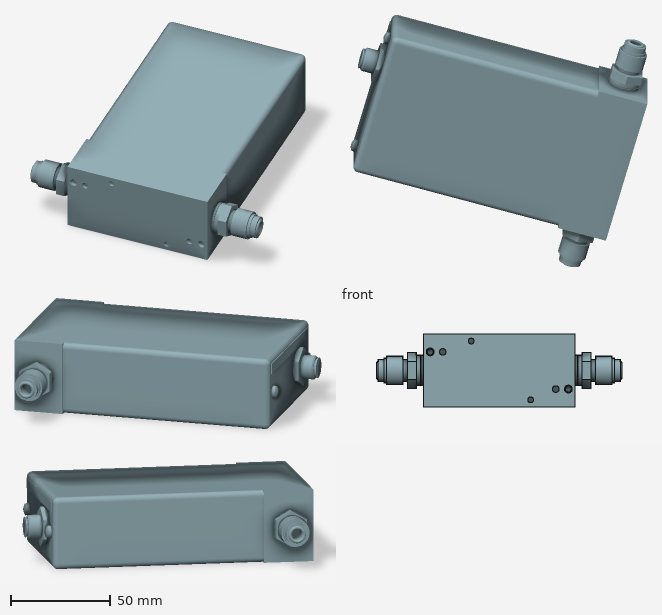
import cadquery as cq
import math

BLOCK_WIDTH = 76.5
BLOCK_DEPTH = 25.2
HEIGHT = 36.9

PORT_X, PORT_Z = 34.9, 9.4
PORT_DIAMETER = 3.0
PORT_MOUTH_DIAMETER = 3.9
PORT_CHAMFER = (PORT_MOUTH_DIAMETER - PORT_DIAMETER) / 2
PORT_DEPTH = 8.6
DRILL_POINT_ANGLE = 118
DOWEL_X = 28.5
DOWEL_DIAMETER = 3.3
MOUNT_LEFT_X, MOUNT_RIGHT_X, MOUNT_Z = -14.1, 15.8, 14.8
MOUNT_DIAMETER = 2.9
FLAT_HOLE_DEPTH = 7.2

COVER_WIDTH = 75.3
COVER_DEPTH = 108.0
COVER_FILLET = 2.7
COVER_BACK_Y = BLOCK_DEPTH + COVER_DEPTH

LABEL_WIDTH = 67.4
LABEL_THICKNESS = 0.5
LABEL_TOP_Z = HEIGHT / 2 - COVER_FILLET
LABEL_BOTTOM_Z = 10.4

SCREW_X = 30.1
SCREW_HEAD_DIAMETER = 6.0
SCREW_HEAD_HEIGHT = 2.7
SCREW_RIM_HEIGHT = 1.7

CONNECTOR_X = -16.0
CONNECTOR_LENGTH = 144 - COVER_BACK_Y
HEX_FLANGE_FLATS = 17.9
HEX_FLANGE_CORNERS = 20.3
HEX_FLANGE_CHAMFER = 1.2
HEX_FLANGE_SEAT_DIAMETER = HEX_FLANGE_CORNERS - 2 * HEX_FLANGE_CHAMFER
HEX_FLANGE_THICKNESS = 2.9
BARREL_DIAMETER = 12.1
BARREL_NECK_DIAMETER = 11.5
BARREL_NECK_LENGTH = 0.5
BARREL_CHAMFER = 0.7
LIP_DIAMETER = 10.4
LIP_GROOVE_DIAMETER = 9.2
LIP_LENGTH = 0.5
LIP_GROOVE_LENGTH = 0.9

FITTING_Y = BLOCK_DEPTH / 2
OVERALL_WIDTH = 124.0
SEAL_DIAMETER = 15.4
SEAL_THICKNESS = 1.2
GROOVE_DIAMETER = 14.7
GROOVE_LENGTH = 0.5
COLLAR_LENGTH = 2.0
FITTING_HEX_FLATS = 15.8
FITTING_HEX_LENGTH = 4.5
NECK_DIAMETER = 11.2
NECK_LENGTH = 2.3
THREAD_DIAMETER = 14.4
THREAD_LENGTH = 8.2
THREAD_STEP_DIAMETER = 12.4
THREAD_STEP_LENGTH = 1.5
NOSE_DIAMETER = 11.2
NOSE_LENGTH = 2.9
TIP_DIAMETER = 9.0
TIP_FILLET = 0.9
BORE_DIAMETER = 5.5
BORE_CHAMFER = 0.6
BORE_DEPTH = 8.6


def y_cylinder(x, y, z, diameter, length):
    """Cylinder that starts at the given point and runs toward +Y."""
    axis = cq.Vector(0, 1, 0)
    return cq.Workplane(cq.Solid.makeCylinder(diameter / 2, length, cq.Vector(x, y, z), axis))


def y_cone(x, y, z, start_diameter, end_diameter, length):
    """Cone that starts at the given point and runs toward +Y."""
    axis = cq.Vector(0, 1, 0)
    cone = cq.Solid.makeCone(start_diameter / 2, end_diameter / 2, length, cq.Vector(x, y, z), axis)
    return cq.Workplane(cone)


def port_cutter(x, z):
    """Countersunk drilled hole with a conical bottom."""
    point_length = PORT_DIAMETER / 2 / math.tan(math.radians(DRILL_POINT_ANGLE / 2))
    bore = y_cylinder(x, 0, z, PORT_DIAMETER, PORT_DEPTH)
    mouth = y_cone(x, 0, z, PORT_MOUTH_DIAMETER, PORT_DIAMETER, PORT_CHAMFER)
    point = y_cone(x, PORT_DEPTH, z, PORT_DIAMETER, 0, point_length)
    return bore.union(mouth).union(point)


def make_block():
    block = cq.Workplane().box(BLOCK_WIDTH, BLOCK_DEPTH, HEIGHT, centered=(True, False, True))
    for side in (-1, 1):
        block = block.cut(port_cutter(side * PORT_X, -side * PORT_Z))
        block = block.cut(y_cylinder(side * DOWEL_X, 0, -side * PORT_Z, DOWEL_DIAMETER, FLAT_HOLE_DEPTH))
    for x, z in ((MOUNT_LEFT_X, MOUNT_Z), (MOUNT_RIGHT_X, -MOUNT_Z)):
        block = block.cut(y_cylinder(x, 0, z, MOUNT_DIAMETER, FLAT_HOLE_DEPTH))
    return block


def make_cover():
    cover = cq.Workplane().box(COVER_WIDTH, COVER_DEPTH, HEIGHT, centered=(True, False, True))
    cover = cover.edges("|Y or >Y").fillet(COVER_FILLET)
    return cover.translate((0, BLOCK_DEPTH, 0))


def make_label():
    label_height = LABEL_TOP_Z - LABEL_BOTTOM_Z
    label = cq.Workplane().box(LABEL_WIDTH, LABEL_THICKNESS, label_height, centered=(True, False, False))
    return label.translate((0, COVER_BACK_Y, LABEL_BOTTOM_Z))


def make_cover_screw(x):
    """Screw head with a straight rim and a domed top, revolved about its Y axis."""
    rim_radius = SCREW_HEAD_DIAMETER / 2
    dome_height = SCREW_HEAD_HEIGHT - SCREW_RIM_HEIGHT
    dome_radius = (rim_radius**2 + dome_height**2) / (2 * dome_height)
    dome_center = SCREW_HEAD_HEIGHT - dome_radius
    half_angle = math.asin(rim_radius / dome_radius) / 2
    dome_middle = (dome_radius * math.sin(half_angle), dome_center + dome_radius * math.cos(half_angle))
    head = (
        cq.Workplane()
        .lineTo(rim_radius, 0)
        .lineTo(rim_radius, SCREW_RIM_HEIGHT)
        .threePointArc(dome_middle, (0, SCREW_HEAD_HEIGHT))
        .close()
        .revolve(360, (0, 0), (0, 1))
    )
    return head.translate((x, COVER_BACK_Y, 0))


def make_connector():
    """Hexagonal flange and round barrel in one piece, built from Y = 0 toward +Y."""
    full_corners = HEX_FLANGE_FLATS / math.cos(math.pi / 6)
    hexagon = (
        cq.Workplane("XZ")
        .polygon(6, full_corners)
        .extrude(-HEX_FLANGE_THICKNESS)
        .rotate((0, 0, 0), (0, 1, 0), 30)
    )
    corner_length = HEX_FLANGE_THICKNESS - HEX_FLANGE_CHAMFER
    envelope = y_cone(0, 0, 0, HEX_FLANGE_SEAT_DIAMETER, HEX_FLANGE_CORNERS, HEX_FLANGE_CHAMFER)
    envelope = envelope.union(y_cylinder(0, HEX_FLANGE_CHAMFER, 0, HEX_FLANGE_CORNERS, corner_length))
    flange = hexagon.intersect(envelope)

    barrel_start = HEX_FLANGE_THICKNESS + BARREL_NECK_LENGTH
    groove_end = CONNECTOR_LENGTH - LIP_LENGTH
    barrel_end = groove_end - LIP_GROOVE_LENGTH
    barrel = (
        cq.Workplane()
        .lineTo(BARREL_NECK_DIAMETER / 2, 0)
        .lineTo(BARREL_NECK_DIAMETER / 2, barrel_start)
        .lineTo(BARREL_DIAMETER / 2, barrel_start)
        .lineTo(BARREL_DIAMETER / 2, barrel_end - BARREL_CHAMFER)
        .lineTo(BARREL_DIAMETER / 2 - BARREL_CHAMFER, barrel_end)
        .lineTo(LIP_GROOVE_DIAMETER / 2, barrel_end)
        .lineTo(LIP_DIAMETER / 2, groove_end)
        .lineTo(LIP_DIAMETER / 2, CONNECTOR_LENGTH)
        .lineTo(0, CONNECTOR_LENGTH)
        .close()
        .revolve(360, (0, 0), (0, 1))
    )
    return flange.union(barrel).translate((CONNECTOR_X, COVER_BACK_Y, 0))


def x_cylinder(start, end, diameter):
    """Cylinder about the X axis between two X positions."""
    return cq.Workplane("YZ", origin=(start, 0, 0)).circle(diameter / 2).extrude(end - start)


def place_on_side(body, side):
    """Move a body built along +X from the origin to the right (1) or left (-1) end of the block."""
    if side < 0:
        body = body.rotate((0, 0, 0), (0, 0, 1), 180)
    return body.translate((side * BLOCK_WIDTH / 2, FITTING_Y, 0))


def make_seal(side):
    seal = x_cylinder(0, SEAL_THICKNESS, SEAL_DIAMETER)
    return place_on_side(seal, side)


def make_fitting(side):
    """Tube fitting: collar, hexagon, neck, stepped thread, nose and bored round tip."""
    fitting_length = (OVERALL_WIDTH - BLOCK_WIDTH) / 2
    collar_start = SEAL_THICKNESS + GROOVE_LENGTH
    hex_start = collar_start + COLLAR_LENGTH
    neck_start = hex_start + FITTING_HEX_LENGTH
    thread_start = neck_start + NECK_LENGTH
    step_start = thread_start + THREAD_LENGTH
    nose_start = step_start + THREAD_STEP_LENGTH
    tip_start = nose_start + NOSE_LENGTH

    tip = x_cylinder(nose_start, fitting_length, TIP_DIAMETER).faces(">X").edges().fillet(TIP_FILLET)
    hexagon = (
        cq.Workplane("YZ", origin=(hex_start, 0, 0))
        .polygon(6, FITTING_HEX_FLATS / math.cos(math.pi / 6))
        .extrude(FITTING_HEX_LENGTH)
        .rotate((0, 0, 0), (1, 0, 0), 30)
    )
    fitting = (
        x_cylinder(SEAL_THICKNESS, collar_start, GROOVE_DIAMETER)
        .union(x_cylinder(collar_start, hex_start, SEAL_DIAMETER))
        .union(hexagon)
        .union(x_cylinder(neck_start, thread_start, NECK_DIAMETER))
        .union(x_cylinder(thread_start, step_start, THREAD_DIAMETER))
        .union(x_cylinder(step_start, nose_start, THREAD_STEP_DIAMETER))
        .union(x_cylinder(nose_start, tip_start, NOSE_DIAMETER))
        .union(tip)
        .cut(x_cylinder(fitting_length - BORE_DEPTH, fitting_length, BORE_DIAMETER))
    )
    fitting = fitting.faces(">X").edges(cq.selectors.RadiusNthSelector(0)).chamfer(BORE_CHAMFER)
    return place_on_side(fitting, side)


block = make_block()
cover = make_cover()
label = make_label()
cover_screws = [make_cover_screw(side * SCREW_X) for side in (-1, 1)]
connector = make_connector()
seals = [make_seal(side) for side in (-1, 1)]
fittings = [make_fitting(side) for side in (-1, 1)]

result = cq.Compound.makeCompound([
    block.val(),
    cover.val(),
    label.val(),
    connector.val(),
    *[screw.val() for screw in cover_screws],
    *[seal.val() for seal in seals],
    *[fitting.val() for fitting in fittings],
])